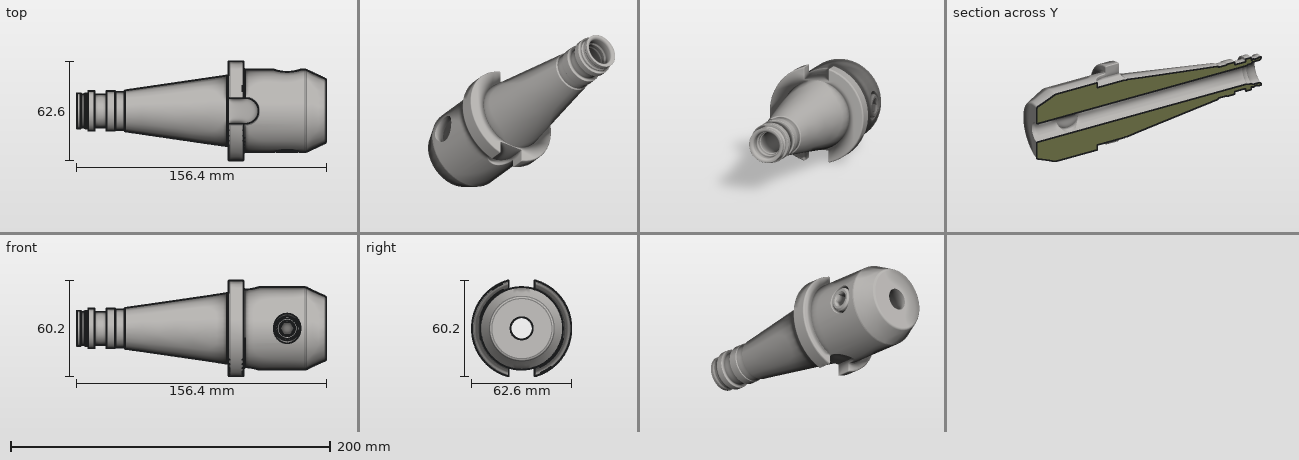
import cadquery as cq
import math

length = 156.4
x_start = 0.0

spigot_radius = 11.1
spigot_groove_radius = 10.5
spigot_groove_start = 2.0
spigot_groove_end = 5.5
spigot_groove_flank = 1.0
spigot_chamfer = 0.2
relief_radius = 10.5
relief_start = 6.3
collar_start = 7.0
collar_end = 11.1
collar_radius = 12.5
collar_edge_chamfer = 0.2
neck_radius = 10.5
neck_fillet = 0.5
neck_end = 18.5
guide_end = 23.8
guide_chamfer = 0.5
step_radius = 12.0
step_end = 29.5

taper_large_radius = 22.2
taper_start = 30.2
taper_end = 94.0
taper_slope = 7 / 48
taper_relief_depth = 0.3
taper_relief_fillet = 0.3
taper_small_radius = taper_large_radius - (taper_end - taper_start) * taper_slope

flange_start = 95.0
flange_end = 104.6
flange_radius = 31.3
flange_fillet = 1.0
slot_width = 16.1
slot_half_width = slot_width / 2
slot_floor = taper_large_radius
slot_end = 113.9
slot_edge_fillet = 0.5

nose_radius = 26.0
nose_root_fillet = 1.0
nose_cone_start = 143.4
nose_face_radius = 19.9
nose_cone_fillet = 1.9
nose_tip_fillet = 1.5

bore_radius = 6.9
entry_radius = 8.5
entry_depth = 6.3
entry_fillet = 1.9
middle_radius = 7.5
middle_end = 9.4
bore_cone_length = 0.6

screw_x = 131.8
screw_radius = 7.5
screw_chamfer = 1.1
screw_tip_distance = bore_radius
screw_head_distance = nose_radius
hex_across_flats = 8.0
hex_depth = 7.8
hex_countersink_radius = 5.0
rim_radius_x = 8.5
rim_radius_z = 10.3
rim_depth = 4.8
rim_wall_angle = 30.0
balance_hole_radius = 8.6
balance_hole_depth = 6.3


def make_turned_blank():
    """Solid of revolution of the whole holder, without bores or slots."""
    groove_flat_start = spigot_groove_start + spigot_groove_flank
    groove_flat_end = spigot_groove_end - spigot_groove_flank
    outline = [
        (x_start, 0),
        (x_start, spigot_radius - spigot_chamfer),
        (x_start + spigot_chamfer, spigot_radius),
        (spigot_groove_start, spigot_radius),
        (groove_flat_start, spigot_groove_radius),
        (groove_flat_end, spigot_groove_radius),
        (spigot_groove_end, spigot_radius),
        (relief_start, spigot_radius),
        (relief_start, relief_radius),
        (collar_start, relief_radius),
        (collar_start, collar_radius - collar_edge_chamfer),
        (collar_start + collar_edge_chamfer, collar_radius),
        (collar_end - collar_edge_chamfer, collar_radius),
        (collar_end, collar_radius - collar_edge_chamfer),
        (collar_end, neck_radius),
        (neck_end, neck_radius),
        (neck_end, collar_radius - collar_edge_chamfer),
        (neck_end + collar_edge_chamfer, collar_radius),
        (guide_end, collar_radius),
        (guide_end + guide_chamfer, step_radius),
        (step_end, step_radius),
        (taper_start, taper_small_radius),
        (taper_end, taper_large_radius),
        (taper_end, taper_large_radius - taper_relief_depth),
        (flange_start, taper_large_radius - taper_relief_depth),
        (flange_start, flange_radius),
        (flange_end, flange_radius),
        (flange_end, nose_radius),
        (nose_cone_start, nose_radius),
        (length, nose_face_radius),
        (length, 0),
    ]
    blank = cq.Workplane("XY").polyline(outline).close().revolve(360, (0, 0, 0), (1, 0, 0))
    blank = fillet_ring(blank, collar_end, neck_radius, neck_fillet)
    blank = fillet_ring(blank, neck_end, neck_radius, neck_fillet)
    relief_floor_radius = taper_large_radius - taper_relief_depth
    blank = fillet_ring(blank, flange_start, relief_floor_radius, taper_relief_fillet)
    blank = fillet_ring(blank, flange_start, flange_radius, flange_fillet)
    blank = fillet_ring(blank, flange_end, flange_radius, flange_fillet)
    blank = fillet_ring(blank, flange_end, nose_radius, nose_root_fillet)
    blank = fillet_ring(blank, nose_cone_start, nose_radius, nose_cone_fillet)
    return fillet_ring(blank, length, nose_face_radius, nose_tip_fillet)


def fillet_ring(body, x, radius, fillet):
    """Round the circular edge of the given radius at position x along the axis."""
    tolerance = 0.02
    rings = [
        edge
        for edge in body.edges("%CIRCLE").vals()
        if abs(edge.Center().x - x) < tolerance and abs(edge.radius() - radius) < tolerance
    ]
    return body.newObject(rings).fillet(fillet)


def make_bore():
    """Through bore that narrows in two coned steps from the entry."""
    outline = [
        (x_start, 0),
        (x_start, entry_radius),
        (entry_depth, entry_radius),
        (entry_depth + bore_cone_length, middle_radius),
        (middle_end, middle_radius),
        (middle_end + bore_cone_length, bore_radius),
        (length, bore_radius),
        (length, 0),
    ]
    return cq.Workplane("XY").polyline(outline).close().revolve(360, (0, 0, 0), (1, 0, 0))


def make_driving_slot(side):
    """Round-ended slot open towards the narrow end; side is +1 (top) or -1 (bottom)."""
    arc_center = slot_end - slot_half_width
    return (
        cq.Workplane("XY", origin=(0, 0, side * slot_floor))
        .moveTo(flange_start, -slot_half_width)
        .lineTo(arc_center, -slot_half_width)
        .threePointArc((slot_end, 0), (arc_center, slot_half_width))
        .lineTo(flange_start, slot_half_width)
        .close()
        .extrude(side * flange_radius)
    )


def fillet_slot_edges(holder):
    """Round the edges where the slot walls meet the outside of the flange."""
    edge_height = math.sqrt(flange_radius**2 - slot_half_width**2)
    tolerance = 0.02
    edges = [
        edge
        for edge in holder.edges("|X").vals()
        if abs(abs(edge.Center().z) - edge_height) < tolerance
    ]
    return holder.newObject(edges).fillet(slot_edge_fillet)


def make_screw_hole():
    """Hole from the axis out through the -Y side, with its tapered rim."""
    hole = (
        cq.Workplane("XZ", origin=(screw_x, 0, 0))
        .circle(screw_radius)
        .extrude(flange_radius)
    )
    rim = (
        cq.Workplane("XZ", origin=(screw_x, -nose_radius, 0))
        .ellipse(rim_radius_x, rim_radius_z)
        .extrude(-rim_depth, taper=rim_wall_angle)
    )
    return hole.union(rim)


def make_balance_hole():
    """Blind hole in the +Y side, in line with the screw hole."""
    return (
        cq.Workplane("XZ", origin=(screw_x, nose_radius, 0))
        .circle(balance_hole_radius)
        .extrude(balance_hole_depth)
    )


def make_holder():
    holder = make_turned_blank()
    for side in (1, -1):
        holder = holder.cut(make_driving_slot(side))
    holder = fillet_slot_edges(holder)
    holder = holder.cut(make_bore())
    holder = fillet_ring(holder, x_start, entry_radius, entry_fillet)
    holder = holder.cut(make_screw_hole())
    return holder.cut(make_balance_hole())


def make_screw():
    """Set screw whose tip stops clear of the bore and whose head has a hex socket."""
    screw = (
        cq.Workplane("XZ", origin=(screw_x, -screw_tip_distance, 0))
        .circle(screw_radius)
        .extrude(screw_head_distance - screw_tip_distance)
        .faces("<Y")
        .chamfer(screw_chamfer)
    )
    hex_diameter = hex_across_flats / math.cos(math.pi / 6)
    socket = (
        cq.Workplane("XZ", origin=(screw_x, -screw_head_distance, 0))
        .polygon(6, hex_diameter)
        .extrude(-hex_depth)
    )
    countersink = cq.Solid.makeCone(
        hex_countersink_radius, 0, hex_countersink_radius,
        cq.Vector(screw_x, -screw_head_distance, 0), cq.Vector(0, 1, 0),
    )
    return screw.cut(socket).cut(cq.Workplane(countersink))


holder = make_holder()
screw = make_screw()
result = cq.Compound.makeCompound([holder.solids().val(), screw.solids().val()])